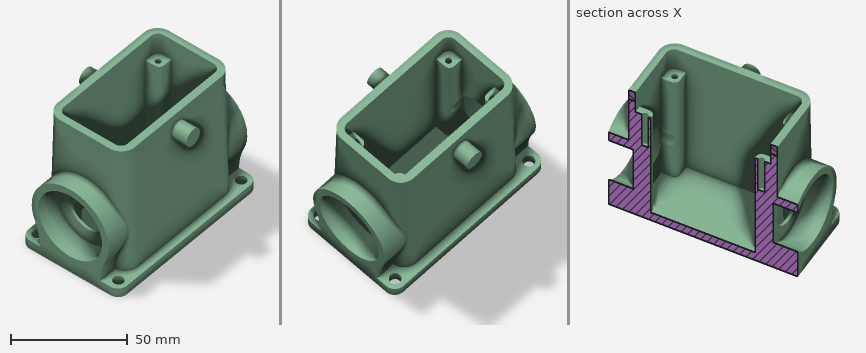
import cadquery as cq
import math

FLANGE_X = 55.1
FLANGE_Y = 92.5
FLANGE_Z = 5.0
FLANGE_CORNER_R = 5.0
FLANGE_HOLE_D = 5.5
FLANGE_HOLE_PITCH_X = 45.1
FLANGE_HOLE_PITCH_Y = 82.0

TOTAL_Z = 74.0
RIM_Z = 5.5
SEAM_Z = TOTAL_Z - RIM_Z
SHELL_TOP_X = 43.3
SHELL_BASE_X = 47.2
SHELL_Y = 72.9
SHELL_CORNER_R = 7.6
WALL_X = 3.8
WALL_Y = 3.5
FLOOR_Z = FLANGE_Z
CAVITY_X = SHELL_TOP_X - 2 * WALL_X
CAVITY_Y = SHELL_Y - 2 * WALL_Y
CAVITY_CORNER_R = SHELL_CORNER_R - WALL_X

POST_X = 8.05
POST_Y = 7.6
POST_TOP_Z = 62.25
POST_EDGE_R = 2.8
POST_HOLE_D = 3.05
POST_HOLE_DEPTH = 18.5
POST_HOLE_PITCH_X = 26.8
POST_HOLE_PITCH_Y = 56.8

PIN_D = 9.1
PIN_SPAN_X = 60.0
PIN_Z = SEAM_Z - PIN_D / 2

ENTRY_Z = 26.9
ENTRY_R = 21.55
ENTRY_FOOT_HALF_X = 16.9
ENTRY_BORE_D = 20.5
ENTRY_COUNTERBORE_D = 35.6
ENTRY_COUNTERBORE_DEPTH = 11.9


def rounded_block(size_x, size_y, bottom_z, top_z, corner_r):
    """Upright centred block with rounded vertical edges."""
    block = cq.Workplane("XY", origin=(0, 0, bottom_z)).rect(size_x, size_y).extrude(top_z - bottom_z)
    return block.edges("|Z").fillet(corner_r)


def make_flange():
    flange = rounded_block(FLANGE_X, FLANGE_Y, 0, FLANGE_Z, FLANGE_CORNER_R)
    return (
        flange.faces(">Z").workplane(origin=(0, 0, 0))
        .rect(FLANGE_HOLE_PITCH_X, FLANGE_HOLE_PITCH_Y, forConstruction=True)
        .vertices().hole(FLANGE_HOLE_D)
    )


def make_shell():
    """Solid shell shape that narrows in X from the flange up to the seam, with rounded corners."""
    prism = (
        cq.Workplane("XZ", origin=(0, SHELL_Y / 2, 0))
        .moveTo(-SHELL_BASE_X / 2, FLANGE_Z)
        .lineTo(SHELL_BASE_X / 2, FLANGE_Z)
        .lineTo(SHELL_TOP_X / 2, SEAM_Z)
        .lineTo(-SHELL_TOP_X / 2, SEAM_Z)
        .close().extrude(SHELL_Y)
    )
    leaning_corners = prism.faces("|Y").edges("not |X")
    return leaning_corners.fillet(SHELL_CORNER_R)


def make_cavity(bottom_z):
    return rounded_block(CAVITY_X, CAVITY_Y, bottom_z, TOTAL_Z, CAVITY_CORNER_R)


def make_posts():
    """Four posts filling the cavity corners, each with its inner edge rounded."""
    island_x = CAVITY_X / 2 - POST_X
    island_y = CAVITY_Y / 2 - POST_Y
    posts = cq.Workplane("XY")
    for side_x in (-1, 1):
        for side_y in (-1, 1):
            post = (
                cq.Workplane("XY", origin=(0, 0, FLOOR_Z))
                .center(side_x * (island_x + POST_X / 2), side_y * (island_y + POST_Y / 2))
                .rect(POST_X, POST_Y).extrude(POST_TOP_Z - FLOOR_Z)
                .edges("|Z").edges(cq.selectors.NearestToPointSelector(
                    (side_x * island_x, side_y * island_y, POST_TOP_Z / 2)))
                .fillet(POST_EDGE_R)
            )
            posts = posts.add(post)
    return posts.combine()


def make_post_holes():
    return (
        cq.Workplane("XY", origin=(0, 0, POST_TOP_Z - POST_HOLE_DEPTH))
        .rect(POST_HOLE_PITCH_X, POST_HOLE_PITCH_Y, forConstruction=True)
        .vertices().circle(POST_HOLE_D / 2).extrude(POST_HOLE_DEPTH)
    )


def make_pins():
    """Round bar across the housing; the cavity later leaves only its two ends."""
    return (
        cq.Workplane("YZ", origin=(-PIN_SPAN_X / 2, 0, 0))
        .center(0, PIN_Z).circle(PIN_D / 2).extrude(PIN_SPAN_X)
    )


def make_entries():
    """Round cable entries whose concave sides run down tangent to the circle and end upright."""
    rise = ENTRY_Z - FLANGE_Z
    side_r = (ENTRY_FOOT_HALF_X**2 + rise**2 - ENTRY_R**2) / (2 * (ENTRY_R - ENTRY_FOOT_HALF_X))
    side_x = ENTRY_FOOT_HALF_X + side_r
    tangent_angle = math.atan2(rise, side_x)
    tangent_x = ENTRY_R * math.cos(tangent_angle)
    tangent_z = ENTRY_Z - ENTRY_R * math.sin(tangent_angle)
    middle_x = side_x - side_r * math.cos(tangent_angle / 2)
    middle_z = FLANGE_Z + side_r * math.sin(tangent_angle / 2)
    bar = (
        cq.Workplane("XZ", origin=(0, FLANGE_Y / 2, 0))
        .moveTo(-ENTRY_FOOT_HALF_X, FLANGE_Z)
        .lineTo(ENTRY_FOOT_HALF_X, FLANGE_Z)
        .threePointArc((middle_x, middle_z), (tangent_x, tangent_z))
        .threePointArc((0, ENTRY_Z + ENTRY_R), (-tangent_x, tangent_z))
        .threePointArc((-middle_x, middle_z), (-ENTRY_FOOT_HALF_X, FLANGE_Z))
        .close().extrude(FLANGE_Y)
    )
    middle = cq.Workplane("XY").box(FLANGE_X, CAVITY_Y, 2 * TOTAL_Z)
    return bar.cut(middle)


def make_entry_bores():
    """Bore through both ends, counterbored from each end face."""
    bores = (
        cq.Workplane("XZ", origin=(0, FLANGE_Y / 2, ENTRY_Z))
        .circle(ENTRY_BORE_D / 2).extrude(FLANGE_Y)
    )
    for start_y in (FLANGE_Y / 2, ENTRY_COUNTERBORE_DEPTH - FLANGE_Y / 2):
        counterbore = (
            cq.Workplane("XZ", origin=(0, start_y, ENTRY_Z))
            .circle(ENTRY_COUNTERBORE_D / 2).extrude(ENTRY_COUNTERBORE_DEPTH)
        )
        bores = bores.union(counterbore)
    return bores


def make_housing():
    outside = make_flange().union(make_shell()).union(make_entries()).union(make_pins())
    hollow = outside.cut(make_cavity(FLOOR_Z)).union(make_posts())
    return hollow.cut(make_post_holes()).cut(make_entry_bores())


def make_rim():
    rim = rounded_block(SHELL_TOP_X, SHELL_Y, SEAM_Z, TOTAL_Z, SHELL_CORNER_R)
    return rim.cut(make_cavity(SEAM_Z))


housing = make_housing()
rim = make_rim()
result = cq.Compound.makeCompound([housing.solids().val(), rim.solids().val()])